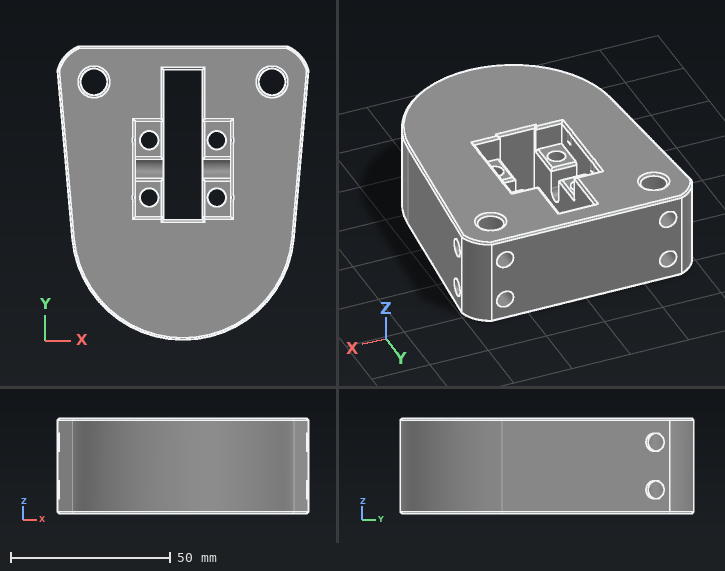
import cadquery as cq
import math

LENGTH = 92.4
REAR_WIDTH = 79.0
HEIGHT = 30.0
ROUND_END_RADIUS = 35.0
SIDE_TAPER = math.radians(5)
EDGE_CHAMFER = 0.65
REAR_Y = LENGTH - ROUND_END_RADIUS

POST_X = 28.0
POST_Y = REAR_Y - 11.3
POST_DIAMETER = 8.3
POST_CHAMFER = 0.8
CORNER_RADIUS = 12.2

CROSS_HOLE_DIAMETER = 5.7
CROSS_HOLE_SPACING = 15.0

RIM_CHAMFER = 0.8
POCKET_SIZE = 29.9
POCKET_DEPTH = 8.3
POCKET_Y = REAR_Y - 38.6
FLOOR_Z = HEIGHT - POCKET_DEPTH
SLOT_WIDTH = 12.2
SLOT_LENGTH = 47.0
SLOT_Y = REAR_Y - 31.05

GROOVE_WIDTH = 6.0
GROOVE_AXIS_Z = 14.6

SCREW_DIAMETER = 5.7
SCREW_SPACING_X = 21.3
SCREW_SPACING_Y = 18.0
CLEARANCE_DIAMETER = 9.0
CLEARANCE_DEPTH = 4.5


def make_body():
    """Rounded outline with its top and bottom edges chamfered."""
    tangent_x = ROUND_END_RADIUS * math.cos(SIDE_TAPER)
    tangent_y = -ROUND_END_RADIUS * math.sin(SIDE_TAPER)
    side_x = REAR_WIDTH / 2
    side_y = tangent_y + (side_x - tangent_x) / math.tan(SIDE_TAPER)
    rear_x = POST_X + math.sqrt(CORNER_RADIUS**2 - (REAR_Y - POST_Y) ** 2)
    corner_offset = CORNER_RADIUS * math.sqrt(0.5)
    corner_y = POST_Y + corner_offset
    corner_x = POST_X + corner_offset
    return (
        cq.Workplane("XY")
        .moveTo(-tangent_x, tangent_y)
        .threePointArc((0, -ROUND_END_RADIUS), (tangent_x, tangent_y))
        .lineTo(side_x, side_y)
        .threePointArc((corner_x, corner_y), (rear_x, REAR_Y))
        .lineTo(-rear_x, REAR_Y)
        .threePointArc((-corner_x, corner_y), (-side_x, side_y))
        .close()
        .extrude(HEIGHT)
        .faces("<Z or >Z")
        .chamfer(EDGE_CHAMFER)
    )


def chamfered_hole(x, y, diameter, depth, chamfer):
    """Cutter for a round hole going down from the top face, with a chamfered rim."""
    top = cq.Workplane("XY", origin=(x, y, HEIGHT))
    bore = top.circle(diameter / 2).extrude(-depth)
    rim = top.circle(diameter / 2 + chamfer).extrude(-chamfer, taper=45)
    return bore.union(rim)


def chamfered_opening(y, width, length, depth):
    """Cutter for a rectangular opening going down from the top face, with a chamfered rim."""
    top = cq.Workplane("XY", origin=(0, y, HEIGHT))
    opening = top.rect(width, length).extrude(-depth)
    rim_width = width + 2 * RIM_CHAMFER
    rim_length = length + 2 * RIM_CHAMFER
    rim = top.rect(rim_width, rim_length).extrude(-RIM_CHAMFER, taper=45)
    return opening.union(rim)


def floor_edge_bevel(plane, gap):
    """Cutter that chamfers both pocket floor edges along a gap running square to the plane."""
    return (
        cq.Workplane(plane, origin=(0, POCKET_Y, FLOOR_Z))
        .moveTo(-gap / 2 - RIM_CHAMFER, 0)
        .lineTo(gap / 2 + RIM_CHAMFER, 0)
        .lineTo(gap / 2, -RIM_CHAMFER)
        .lineTo(-gap / 2, -RIM_CHAMFER)
        .close()
        .extrude(POCKET_SIZE / 2, both=True)
    )


def make_groove():
    """Cutter for the axle groove: straight walls down to a half-round bottom."""
    radius = GROOVE_WIDTH / 2
    return (
        cq.Workplane("YZ", origin=(0, POCKET_Y, GROOVE_AXIS_Z))
        .moveTo(-radius, FLOOR_Z - GROOVE_AXIS_Z)
        .lineTo(-radius, 0)
        .threePointArc((0, -radius), (radius, 0))
        .lineTo(radius, FLOOR_Z - GROOVE_AXIS_Z)
        .close()
        .extrude(POCKET_SIZE / 2, both=True)
    )


def make_cross_hole(x, z, direction):
    """Cutter from a post axis outwards in the given direction."""
    start = cq.Vector(x, POST_Y, z)
    return cq.Solid.makeCylinder(CROSS_HOLE_DIAMETER / 2, 2 * CORNER_RADIUS, start, direction)


result = make_body()

result = result.cut(chamfered_opening(POCKET_Y, POCKET_SIZE, POCKET_SIZE, POCKET_DEPTH))
result = result.cut(chamfered_opening(SLOT_Y, SLOT_WIDTH, SLOT_LENGTH, HEIGHT))
result = result.cut(make_groove())
result = result.cut(floor_edge_bevel("XZ", SLOT_WIDTH))
result = result.cut(floor_edge_bevel("YZ", GROOVE_WIDTH))

for x in (-SCREW_SPACING_X / 2, SCREW_SPACING_X / 2):
    for y in (POCKET_Y - SCREW_SPACING_Y / 2, POCKET_Y + SCREW_SPACING_Y / 2):
        screw_hole = cq.Workplane("XY", origin=(x, y, 0)).circle(SCREW_DIAMETER / 2).extrude(HEIGHT)
        result = result.cut(screw_hole)
        result = result.cut(chamfered_hole(x, y, CLEARANCE_DIAMETER, CLEARANCE_DEPTH, RIM_CHAMFER))

square_to_rear = cq.Vector(0, 1, 0)
for side in (-1, 1):
    x = side * POST_X
    result = result.cut(chamfered_hole(x, POST_Y, POST_DIAMETER, HEIGHT, POST_CHAMFER))
    square_to_side = cq.Vector(side * math.cos(SIDE_TAPER), -math.sin(SIDE_TAPER), 0)
    for z in (HEIGHT / 2 - CROSS_HOLE_SPACING / 2, HEIGHT / 2 + CROSS_HOLE_SPACING / 2):
        for direction in (square_to_side, square_to_rear):
            result = result.cut(make_cross_hole(x, z, direction))